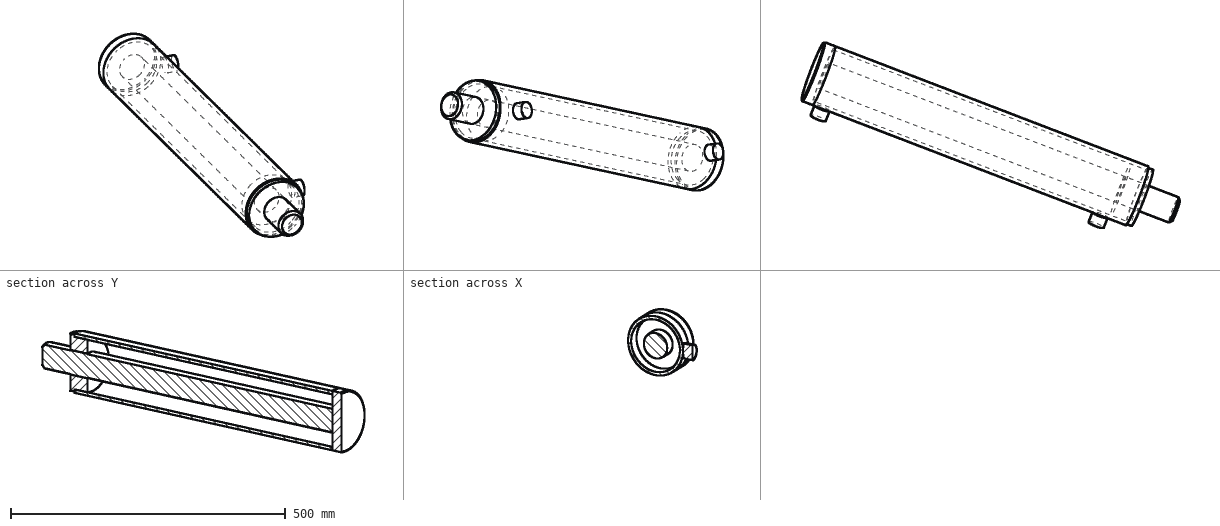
import cadquery as cq


barrel_diameter = 115.0
bore_diameter = 100.0
cap_length = 22.0
cap_chamfer = 2.0
barrel_end = 634.0

gland_collar_diameter = 110.0
gland_end = 644.0
gland_spigot_length = 32.0

rod_diameter = 50.0
rod_end = 710.0
rod_chamfer = 5.0
rod_start = cap_length

port_diameter = 30.0
port_length = 20.0
port_positions = [41.0, 584.0]


def cylinder_along_x(diameter, start, end):
    return cq.Workplane("YZ").workplane(offset=start).circle(diameter / 2).extrude(end - start)


def make_cap():
    cap = cylinder_along_x(barrel_diameter, 0, cap_length)
    return cap.faces("<X").chamfer(cap_chamfer)


def make_barrel():
    barrel = cylinder_along_x(barrel_diameter, cap_length, barrel_end)
    return barrel.cut(cylinder_along_x(bore_diameter, cap_length, barrel_end))


def make_gland():
    spigot = cylinder_along_x(bore_diameter, barrel_end - gland_spigot_length, barrel_end)
    collar = cylinder_along_x(gland_collar_diameter, barrel_end, gland_end)
    return spigot.union(collar).cut(cylinder_along_x(rod_diameter, rod_start, rod_end))


def make_rod():
    rod = cylinder_along_x(rod_diameter, rod_start, rod_end)
    return rod.faces(">X").chamfer(rod_chamfer)


def make_port(x):
    """Flat-ended round boss whose inner end is tangent to the outside of the barrel."""
    port_base = cq.Workplane("XZ", origin=(x, barrel_diameter / 2, 0))
    return port_base.circle(port_diameter / 2).extrude(-port_length)


cap = make_cap()
barrel = make_barrel()
gland = make_gland()
rod = make_rod()
ports = [make_port(x) for x in port_positions]

result = cq.Compound.makeCompound(
    [cap.val(), barrel.val(), gland.val(), rod.val(), *[port.val() for port in ports]]
)